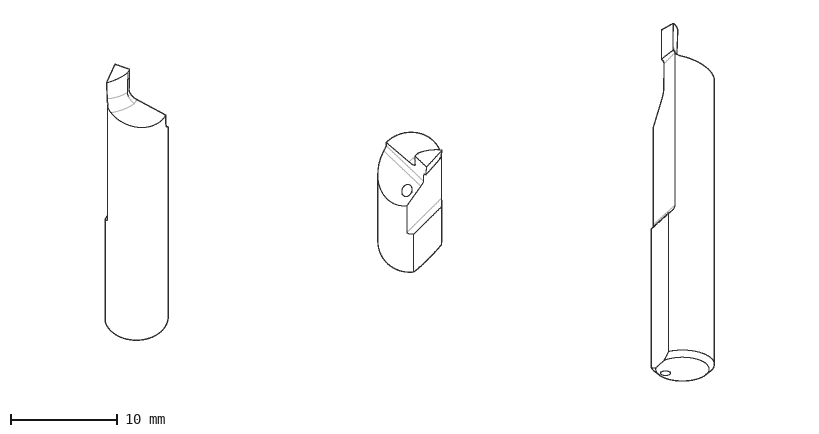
import cadquery as cq
import math

shank_radius = 3.0
total_length = 35.0
flat_x = -2.35
bottom_chamfer = 0.5

recess_x = -1.9
recess_bottom = 15.0
recess_top = 32.0
recess_bottom_radius = 0.8
recess_top_radius = 0.5
recess_top_tilt = 3.0

rake_lean_angle = 1.0
rake_slope_end = 25.1
rake_slope_angle = 50.0
rake_blend_radius = 1.5

coolant_diameter = 0.95
coolant_x = -1.05
coolant_y = 1.45

head_outer_x = -2.2
head_outer_back_x = -2.06
head_back_y = -2.2
end_clearance_angle = 7.0
flank_clearance_angle = 1.0

inner_clearance_angle = 1.5
inner_land_x = -0.68
inner_land_y = -0.41
inner_mid = (-0.92, -0.92)
inner_end = (-2.3, -2.45)

shoulder_low_z = 30.2
shoulder_angle = 15.0
shoulder_tilt = 2.5
shoulder_blend_radius = 1.05

margin = 5.0
outside_reach = shank_radius + margin
block_side = 4 * outside_reach
recess_split = (recess_bottom + recess_top) / 2


def shank():
    bar = cq.Workplane("XY").circle(shank_radius).extrude(total_length)
    return bar.faces("<Z").chamfer(bottom_chamfer)


def arc_rise(depth, radius):
    """Height of an arc that leaves a vertical wall and reaches the given depth."""
    return math.sqrt(depth * (2 * radius - depth))


def arc_middle(depth, radius):
    """Depth and height of the point halfway along that arc."""
    half_turn = math.acos(1 - depth / radius) / 2
    return radius * (1 - math.cos(half_turn)), radius * math.sin(half_turn)


def flat_cutter():
    """Space beyond the clamping flat and the lower part of the recess."""
    depth = recess_x - flat_x
    arc_end = recess_bottom + arc_rise(depth, recess_bottom_radius)
    mid_depth, mid_rise = arc_middle(depth, recess_bottom_radius)
    return (
        cq.Workplane("XZ")
        .moveTo(-outside_reach, -margin)
        .lineTo(flat_x, -margin)
        .lineTo(flat_x, recess_bottom)
        .threePointArc((recess_x - mid_depth, arc_end - mid_rise), (recess_x, arc_end))
        .lineTo(recess_x, recess_split)
        .lineTo(-outside_reach, recess_split)
        .close()
        .extrude(outside_reach, both=True)
    )


def head_root_cutter():
    """Upper part of the recess, curving out under the head along a tilted line."""
    depth = recess_x - head_outer_x
    arc_start = recess_top - arc_rise(depth, recess_top_radius)
    mid_depth, mid_rise = arc_middle(depth, recess_top_radius)
    return (
        cq.Workplane("XZ")
        .moveTo(-outside_reach, recess_split - margin)
        .lineTo(recess_x, recess_split - margin)
        .lineTo(recess_x, arc_start)
        .threePointArc((recess_x - mid_depth, arc_start + mid_rise), (head_outer_x, recess_top))
        .lineTo(head_outer_x, total_length + margin)
        .lineTo(-outside_reach, total_length + margin)
        .close()
        .extrude(outside_reach, both=True)
        .rotate((0, 0, recess_top), (1, 0, recess_top), -recess_top_tilt)
    )


def rake_cutter():
    """Space in front (+Y) of the rake face, with the blended run-out slope."""
    slope = math.tan(math.radians(rake_slope_angle))
    lean = math.tan(math.radians(rake_lean_angle))
    corner_y = (total_length - rake_slope_end - shank_radius * slope) * lean / (1 - slope * lean)
    corner_z = total_length - corner_y / lean
    cutter = (
        cq.Workplane("YZ")
        .moveTo(-margin * lean, total_length + margin)
        .lineTo(corner_y, corner_z)
        .lineTo(outside_reach, rake_slope_end - margin * slope)
        .lineTo(outside_reach, total_length + margin)
        .close()
        .extrude(outside_reach, both=True)
    )
    corner = cq.selectors.NearestToPointSelector((0, corner_y, corner_z))
    return cutter.edges(corner).fillet(rake_blend_radius)


def shoulder_space():
    """Half space above the shoulder plane, which falls toward +X and toward -Y."""
    return (
        cq.Workplane("XY")
        .box(block_side, block_side, block_side, centered=(True, True, False))
        .rotate((0, 0, 0), (1, 0, 0), shoulder_tilt)
        .rotate((0, 0, 0), (0, 1, 0), shoulder_angle)
        .translate((shank_radius, 0, shoulder_low_z))
    )


def shoulder_cutter():
    """Space beside the blade, above the shoulder and blended into it."""
    column = (
        cq.Workplane("XY")
        .moveTo(inner_land_x, outside_reach)
        .lineTo(inner_land_x, inner_land_y)
        .threePointArc(inner_mid, inner_end)
        .lineTo(inner_end[0], -outside_reach)
        .lineTo(outside_reach, -outside_reach)
        .lineTo(outside_reach, outside_reach)
        .close()
        .extrude(4 * margin, both=True)
        .rotate((0, 0, 0), (0, 1, 0), inner_clearance_angle)
        .rotate((0, 0, 0), (1, 0, 0), inner_clearance_angle)
        .translate((0, 0, total_length))
    )
    cutter = column.intersect(shoulder_space())
    wall_foot = cq.selectors.BoxSelector(
        (inner_end[0], inner_end[1], shoulder_low_z),
        (inner_land_x, outside_reach, recess_top),
    )
    return cutter.edges(wall_foot).fillet(shoulder_blend_radius)


def end_clearance_cutter():
    """Space above the end face, which falls from the rake face toward -Y."""
    return (
        cq.Workplane("XY")
        .box(block_side, block_side, block_side, centered=(True, True, False))
        .rotate((0, 0, 0), (1, 0, 0), end_clearance_angle)
        .translate((0, 0, total_length))
    )


def outer_flank_cutter():
    """Relief on the -X flank of the head, leaning back from the rake edge."""
    flank_depth = total_length - recess_top + recess_top_radius
    lean = math.degrees(math.atan2(head_outer_back_x - head_outer_x, -head_back_y))
    return (
        cq.Workplane("XY")
        .box(margin, 4 * margin, 2 * flank_depth, centered=(False, True, False))
        .translate((-margin, 0, -flank_depth))
        .rotate((0, 0, 0), (0, 0, 1), lean)
        .rotate((0, 0, 0), (0, 1, 0), -flank_clearance_angle)
        .translate((head_outer_x, 0, total_length))
    )


def coolant_hole():
    return (
        cq.Workplane("XY")
        .center(coolant_x, coolant_y)
        .circle(coolant_diameter / 2)
        .extrude(total_length)
    )


result = (
    shank()
    .cut(flat_cutter())
    .cut(head_root_cutter())
    .cut(rake_cutter())
    .cut(shoulder_cutter())
    .cut(end_clearance_cutter())
    .cut(outer_flank_cutter())
    .cut(coolant_hole())
)